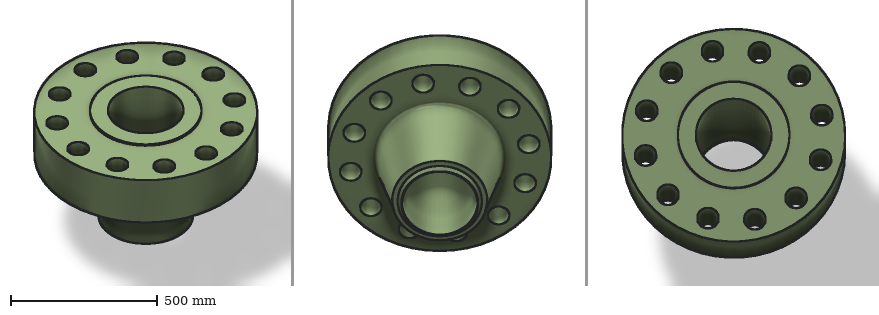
import cadquery as cq
import math

flange_diameter = 762.0
total_height = 470.0

face_diameter = 381.0
face_height = 6.0
flange_thickness = 184.0
bore_diameter = 257.5

bolt_count = 12
bolt_circle_diameter = 619.0
bolt_hole_diameter = 73.0

hub_top_diameter = 442.0
hub_end_diameter = 324.5
hub_fillet_radius = 20.0
hub_end_band = 10.0
bevel_break_diameter = 288.0
weld_end_diameter = 262.0
outer_bevel_angle = 10.0
bevel_height = 16.0

flange_top = total_height - face_height
flange_bottom = flange_top - flange_thickness
band_top = bevel_height + hub_end_band
outer_bevel_width = (hub_end_diameter - bevel_break_diameter) / 2
bevel_break_height = bevel_height - outer_bevel_width * math.tan(math.radians(outer_bevel_angle))


def make_body():
    """Revolve the hub and flange together, then blend the corner between them."""
    profile = (
        cq.Workplane("XZ")
        .moveTo(0, 0)
        .lineTo(weld_end_diameter / 2, 0)
        .lineTo(bevel_break_diameter / 2, bevel_break_height)
        .lineTo(hub_end_diameter / 2, bevel_height)
        .lineTo(hub_end_diameter / 2, band_top)
        .lineTo(hub_top_diameter / 2, flange_bottom)
        .lineTo(flange_diameter / 2, flange_bottom)
        .lineTo(flange_diameter / 2, flange_top)
        .lineTo(face_diameter / 2, flange_top)
        .lineTo(face_diameter / 2, total_height)
        .lineTo(0, total_height)
        .close()
    )
    body = profile.revolve(360, (0, 0, 0), (0, 1, 0))
    underside_edges = body.faces("-Z").faces(">Z").edges("%CIRCLE")
    hub_corner = underside_edges.edges(cq.selectors.RadiusNthSelector(0))
    return hub_corner.fillet(hub_fillet_radius)


def make_bore():
    return cq.Workplane("XY").circle(bore_diameter / 2).extrude(total_height)


def make_bolt_holes():
    return (
        cq.Workplane("XY")
        .workplane(offset=flange_bottom)
        .polarArray(bolt_circle_diameter / 2, 0, 360, bolt_count)
        .circle(bolt_hole_diameter / 2)
        .extrude(flange_thickness)
    )


result = make_body().cut(make_bore()).cut(make_bolt_holes())